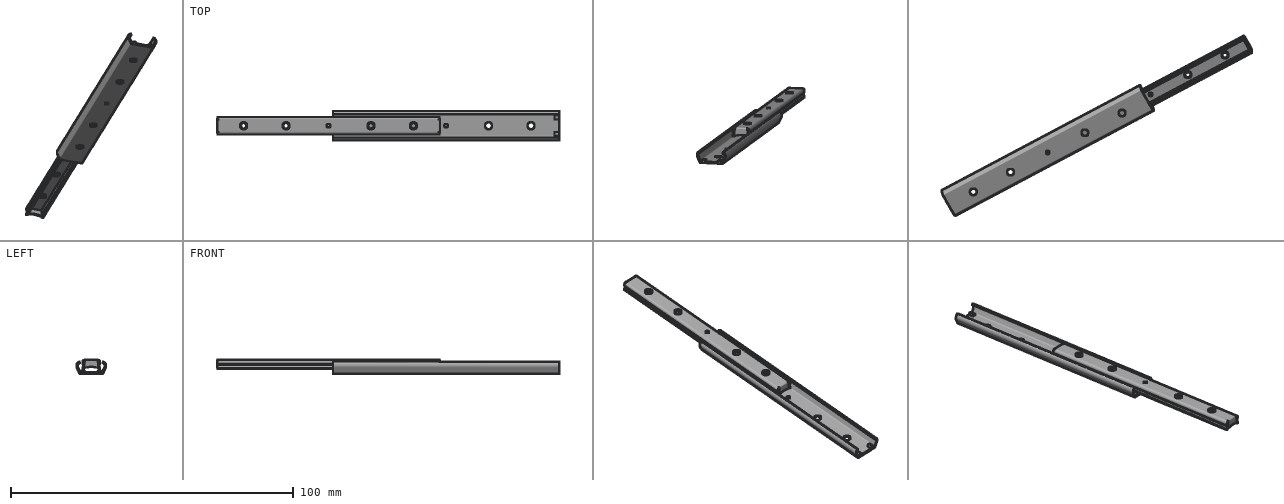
import cadquery as cq
import math

TOTAL_LENGTH = 121.2
TOTAL_HEIGHT = 5.0
INNER_LENGTH = 78.9
OUTER_LENGTH = 80.2
OUTER_START = TOTAL_LENGTH - OUTER_LENGTH

HOLE_PITCH = 15.0
HOLES_PER_SIDE = 2
OUTER_HOLE_DIAMETER = 2.4
INNER_HOLE_DIAMETER = 1.9
COUNTERBORE_DIAMETER = 2.5
COUNTERBORE_DEPTH = 0.2
SMALL_HOLE_DIAMETER = 1.2

OUTER_WIDTH = 10.5
OUTER_HALF_WIDTH = OUTER_WIDTH / 2
FLOOR_THICKNESS = 0.6
OUTSIDE_BEND_RADIUS = 0.4
INSIDE_BEND_RADIUS = 0.6
CORNER_MARGIN = 0.1
RACE_HEIGHT = 2.8
RACE_THICKNESS = 0.5
RACE_RADIUS = 1.6
RACE_CENTRE_Y = OUTER_HALF_WIDTH - RACE_RADIUS
LIP_ANGLE = 70.0
FLANK_ANGLE = 25.0

STOP_LENGTH = 1.8
STOP_HEIGHT = 0.6
STOP_HALF_WIDTH = 0.7
STOP_Y = 2.9

INNER_HALF_WIDTH = 3.2
SHOULDER_RADIUS = 1.0
STRIP_HALF_WIDTH = INNER_HALF_WIDTH - SHOULDER_RADIUS
WEB_THICKNESS = 0.6
WEB_BOTTOM = TOTAL_HEIGHT - WEB_THICKNESS
LEG_SETBACK = 0.1
LEG_BOTTOM = 1.7
LEG_TIP_Y = 2.7
LEG_THICKNESS = 0.79
LEG_INSIDE_Y = INNER_HALF_WIDTH - LEG_THICKNESS
LEG_TAPER_START = 2.2
LEDGE_OUTER = (3.0, 3.4)
LEDGE_INNER = (2.8, 3.0)
GROOVE_MID = (2.9, 2.5)
GROOVE_BOTTOM = (INNER_HALF_WIDTH, 2.0)

END_WALL_THICKNESS = WEB_THICKNESS
END_BEND_RADIUS = 0.5
END_WALL_BOTTOM = 2.2
END_ARCH_TOP = 2.4
END_ARCH_HALF_WIDTH = 1.6


def mirrored(point):
    """The same (y, z) point on the other side of the slide."""
    return (-point[0], point[1])


def race_point(radius, angle):
    """Point (y, z) of the +Y race at an angle above the horizontal."""
    turn = math.radians(angle)
    return (RACE_CENTRE_Y + radius * math.cos(turn), RACE_HEIGHT + radius * math.sin(turn))


def flank_end(start, height):
    """Where the flank that leaves the race tangentially at `start` reaches a height."""
    return (start[0] - (start[1] - height) * math.tan(math.radians(FLANK_ANGLE)), height)


def hole_places(middle_x):
    """Points of the large holes on each side of the middle of a rail."""
    steps = range(-HOLES_PER_SIDE, HOLES_PER_SIDE + 1)
    return [(middle_x + step * HOLE_PITCH, 0) for step in steps if step != 0]


def small_hole(middle_x):
    return cq.Workplane("XY").center(middle_x, 0).circle(SMALL_HOLE_DIAMETER / 2).extrude(TOTAL_HEIGHT)




def outer_profile():
    inner_radius = RACE_RADIUS - RACE_THICKNESS
    outside_low = race_point(RACE_RADIUS, -FLANK_ANGLE)
    outside_mid = race_point(RACE_RADIUS, 0)
    outside_lip = race_point(RACE_RADIUS, LIP_ANGLE)
    inside_lip = race_point(inner_radius, LIP_ANGLE)
    inside_mid = race_point(inner_radius, 0)
    inside_low = race_point(inner_radius, -FLANK_ANGLE)
    base_edge = flank_end(outside_low, 0)
    floor_edge = flank_end(inside_low, FLOOR_THICKNESS)
    return (
        cq.Workplane("YZ", origin=(OUTER_START, 0, 0))
        .moveTo(*mirrored(base_edge))
        .lineTo(*base_edge)
        .lineTo(*outside_low)
        .threePointArc(outside_mid, outside_lip)
        .lineTo(*inside_lip)
        .threePointArc(inside_mid, inside_low)
        .lineTo(*floor_edge)
        .lineTo(*mirrored(floor_edge))
        .lineTo(*mirrored(inside_low))
        .threePointArc(mirrored(inside_mid), mirrored(inside_lip))
        .lineTo(*mirrored(outside_lip))
        .threePointArc(mirrored(outside_mid), mirrored(outside_low))
        .close()
    )


def stop_bump(side):
    """Ridge with an arched top, standing on the floor."""
    middle_y = side * STOP_Y
    return (
        cq.Workplane("YZ", origin=(TOTAL_LENGTH - STOP_LENGTH, 0, 0))
        .moveTo(middle_y - STOP_HALF_WIDTH, FLOOR_THICKNESS)
        .threePointArc(
            (middle_y, FLOOR_THICKNESS + STOP_HEIGHT),
            (middle_y + STOP_HALF_WIDTH, FLOOR_THICKNESS),
        )
        .close()
        .extrude(STOP_LENGTH)
    )


def make_outer_rail():
    rail = outer_profile().extrude(OUTER_LENGTH)
    rail = rail.faces("<Z").edges("|X").fillet(OUTSIDE_BEND_RADIUS)
    inner_corners = cq.selectors.BoxSelector(
        (OUTER_START, -OUTER_HALF_WIDTH, FLOOR_THICKNESS - CORNER_MARGIN),
        (TOTAL_LENGTH, OUTER_HALF_WIDTH, FLOOR_THICKNESS + CORNER_MARGIN),
    )
    rail = rail.edges("|X").edges(inner_corners).fillet(INSIDE_BEND_RADIUS)
    for side in (-1, 1):
        rail = rail.union(stop_bump(side))
    middle_x = OUTER_START + OUTER_LENGTH / 2
    holes = (
        cq.Workplane("XY")
        .pushPoints(hole_places(middle_x))
        .circle(OUTER_HOLE_DIAMETER / 2)
        .extrude(FLOOR_THICKNESS)
    )
    return rail.cut(holes).cut(small_hole(middle_x))




def web_strip():
    """Flat top between the shoulders, bent downwards along both ends."""
    return (
        cq.Workplane("XY", origin=(0, 0, WEB_BOTTOM))
        .box(INNER_LENGTH, 2 * STRIP_HALF_WIDTH, WEB_THICKNESS, centered=(False, True, False))
        .edges(">Z and |Y")
        .fillet(END_BEND_RADIUS)
    )


def end_wall(start_x):
    """Wall between the legs, with an arched lower edge."""
    return (
        cq.Workplane("YZ", origin=(start_x, 0, 0))
        .moveTo(-LEG_INSIDE_Y, WEB_BOTTOM)
        .lineTo(LEG_INSIDE_Y, WEB_BOTTOM)
        .lineTo(LEG_INSIDE_Y, END_WALL_BOTTOM)
        .lineTo(END_ARCH_HALF_WIDTH, END_WALL_BOTTOM)
        .threePointArc((0, END_ARCH_TOP), (-END_ARCH_HALF_WIDTH, END_WALL_BOTTOM))
        .lineTo(-LEG_INSIDE_Y, END_WALL_BOTTOM)
        .close()
        .extrude(END_WALL_THICKNESS)
    )


def grooved_leg():
    """Leg on the +Y side, with its rounded shoulder and ball groove."""
    shoulder_z = TOTAL_HEIGHT - SHOULDER_RADIUS
    diagonal = SHOULDER_RADIUS * math.sqrt(0.5)
    shoulder_mid = (STRIP_HALF_WIDTH + diagonal, shoulder_z + diagonal)
    return (
        cq.Workplane("YZ", origin=(LEG_SETBACK, 0, 0))
        .moveTo(STRIP_HALF_WIDTH, TOTAL_HEIGHT)
        .threePointArc(shoulder_mid, (INNER_HALF_WIDTH, shoulder_z))
        .lineTo(*LEDGE_OUTER)
        .lineTo(*LEDGE_INNER)
        .threePointArc(GROOVE_MID, GROOVE_BOTTOM)
        .lineTo(INNER_HALF_WIDTH, LEG_BOTTOM)
        .lineTo(LEG_TIP_Y, LEG_BOTTOM)
        .lineTo(LEG_INSIDE_Y, LEG_TAPER_START)
        .lineTo(LEG_INSIDE_Y, WEB_BOTTOM)
        .lineTo(STRIP_HALF_WIDTH, WEB_BOTTOM)
        .close()
        .extrude(INNER_LENGTH - 2 * LEG_SETBACK)
    )


def counterbored_holes(middle_x):
    """Through holes in the web, each with a shallow counterbore at the top."""
    places = hole_places(middle_x)
    web = cq.Workplane("XY", origin=(0, 0, TOTAL_HEIGHT)).pushPoints(places)
    through = web.circle(INNER_HOLE_DIAMETER / 2).extrude(-WEB_THICKNESS)
    counterbores = web.circle(COUNTERBORE_DIAMETER / 2).extrude(-COUNTERBORE_DEPTH)
    return through.union(counterbores)


def make_inner_rail():
    leg = grooved_leg()
    rail = web_strip().union(leg).union(leg.mirror("XZ"))
    for start_x in (0, INNER_LENGTH - END_WALL_THICKNESS):
        rail = rail.union(end_wall(start_x))
    middle_x = INNER_LENGTH / 2
    return rail.cut(counterbored_holes(middle_x)).cut(small_hole(middle_x))


outer_rail = make_outer_rail()
inner_rail = make_inner_rail()

result = cq.Compound.makeCompound([outer_rail.val(), inner_rail.val()])